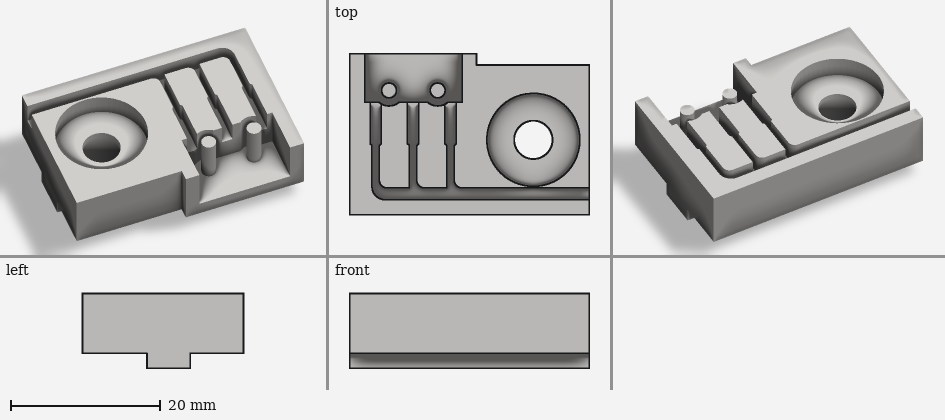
import cadquery as cq

LENGTH = 32.0
DEPTH = 21.5
TOTAL_HEIGHT = 10.0
FOOT_HEIGHT = 2.0
FOOT_FRONT = 7.1
FOOT_WIDTH = 5.8
NOTCH_LEFT = 16.95
NOTCH_DEPTH = 1.5

SCREW_X, SCREW_Y = 24.5, 10.0
BORE_DIAMETER = 5.1
COUNTERBORE_DIAMETER = 12.4
COUNTERBORE_DEPTH = 3.0

POCKET_LEFT = 2.0
POCKET_WIDTH = 13.0
POCKET_FRONT = 15.0
POCKET_FLOOR_DEPTH = 6.0
PIN_DIAMETER = 2.0
PIN_CLEARANCE_DIAMETER = 4.15
PIN_SPACING = 6.5
PIN_Y = 16.6

CHANNEL_DEPTH = 3.0
CHANNEL_SPACING = 5.0
FIRST_CHANNEL_X = 3.5
CHANNEL_COUNT = 3
CHANNEL_WIDTH = 1.0
TERMINAL_WIDTH = 1.5
TERMINAL_FRONT = 9.5
TAPER_LENGTH = (TERMINAL_WIDTH - CHANNEL_WIDTH) / 2
OUTLET_FRONT = 2.0
OUTLET_WIDTH = 1.6
INNER_BEND_RADIUS = 1.0
OUTER_BEND_RADIUS = 1.8

OUTLET_BACK = OUTLET_FRONT + OUTLET_WIDTH
POCKET_CENTER_X = POCKET_LEFT + POCKET_WIDTH / 2
PIN_POSITIONS = [(POCKET_CENTER_X + side * PIN_SPACING / 2, PIN_Y) for side in (-1, 1)]


def box(x, y, z, length, width, height):
    """Box placed by its lower front left corner."""
    return cq.Workplane("XY").box(length, width, height, centered=False).translate((x, y, z))


def make_body():
    block = box(0, 0, FOOT_HEIGHT, LENGTH, DEPTH, TOTAL_HEIGHT - FOOT_HEIGHT)
    foot = box(0, FOOT_FRONT, 0, LENGTH, FOOT_WIDTH, FOOT_HEIGHT)
    notch = box(NOTCH_LEFT, DEPTH - NOTCH_DEPTH, 0, LENGTH - NOTCH_LEFT, NOTCH_DEPTH, TOTAL_HEIGHT)
    return block.union(foot).cut(notch)


def make_screw_hole():
    center = cq.Workplane("XY").center(SCREW_X, SCREW_Y)
    bore = center.circle(BORE_DIAMETER / 2).extrude(TOTAL_HEIGHT)
    counterbore = (
        center.workplane(offset=TOTAL_HEIGHT - COUNTERBORE_DEPTH)
        .circle(COUNTERBORE_DIAMETER / 2)
        .extrude(COUNTERBORE_DEPTH)
    )
    return bore.union(counterbore)


def make_pocket():
    floor = TOTAL_HEIGHT - POCKET_FLOOR_DEPTH
    pocket = box(POCKET_LEFT, POCKET_FRONT, floor, POCKET_WIDTH, DEPTH - POCKET_FRONT, POCKET_FLOOR_DEPTH)
    pin_plane = cq.Workplane("XY").workplane(offset=floor).pushPoints(PIN_POSITIONS)
    clearances = pin_plane.circle(PIN_CLEARANCE_DIAMETER / 2).extrude(POCKET_FLOOR_DEPTH)
    pins = pin_plane.circle(PIN_DIAMETER / 2).extrude(POCKET_FLOOR_DEPTH)
    return pocket.union(clearances).cut(pins)


def make_channel(center_x):
    """One wire channel: wide terminal seat, tapered neck and a rounded turn into the outlet."""
    left = center_x - CHANNEL_WIDTH / 2
    right = center_x + CHANNEL_WIDTH / 2
    return (
        cq.Workplane("XY")
        .workplane(offset=TOTAL_HEIGHT - CHANNEL_DEPTH)
        .moveTo(left, OUTLET_FRONT + OUTER_BEND_RADIUS)
        .lineTo(left, TERMINAL_FRONT - TAPER_LENGTH)
        .lineTo(left - TAPER_LENGTH, TERMINAL_FRONT)
        .lineTo(left - TAPER_LENGTH, POCKET_FRONT)
        .lineTo(right + TAPER_LENGTH, POCKET_FRONT)
        .lineTo(right + TAPER_LENGTH, TERMINAL_FRONT)
        .lineTo(right, TERMINAL_FRONT - TAPER_LENGTH)
        .lineTo(right, OUTLET_BACK + INNER_BEND_RADIUS)
        .radiusArc((right + INNER_BEND_RADIUS, OUTLET_BACK), -INNER_BEND_RADIUS)
        .lineTo(right + INNER_BEND_RADIUS, OUTLET_FRONT)
        .lineTo(left + OUTER_BEND_RADIUS, OUTLET_FRONT)
        .radiusArc((left, OUTLET_FRONT + OUTER_BEND_RADIUS), OUTER_BEND_RADIUS)
        .close()
        .extrude(CHANNEL_DEPTH)
    )


def make_channels():
    outlet_left = FIRST_CHANNEL_X - CHANNEL_WIDTH / 2 + OUTER_BEND_RADIUS
    channels = box(
        outlet_left, OUTLET_FRONT, TOTAL_HEIGHT - CHANNEL_DEPTH,
        LENGTH - outlet_left, OUTLET_WIDTH, CHANNEL_DEPTH,
    )
    for index in range(CHANNEL_COUNT):
        channels = channels.union(make_channel(FIRST_CHANNEL_X + index * CHANNEL_SPACING))
    return channels


result = make_body().cut(make_screw_hole()).cut(make_pocket()).cut(make_channels())